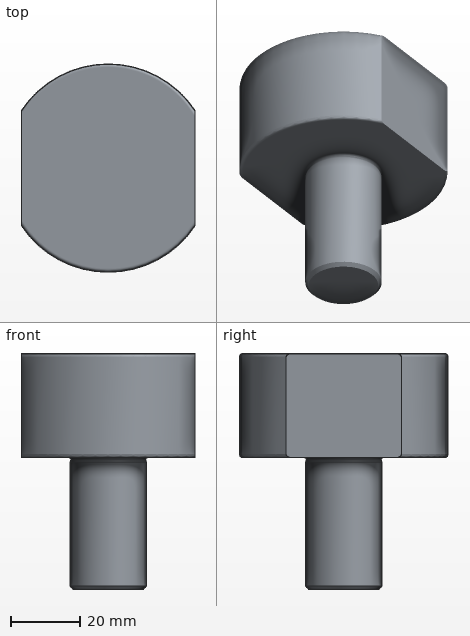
import cadquery as cq

head_diameter = 60.0
head_width = 50.0
head_height = 30.0
rim_radius = 0.95

total_height = 68.0
shank_length = total_height - head_height
shank_diameter = 22.0
tip_chamfer = 1.0

neck_diameter = 21.5
flare_radius = 0.6
taper_length = 0.7


def make_head():
    disc = (
        cq.Workplane("XY")
        .workplane(offset=shank_length)
        .circle(head_diameter / 2)
        .extrude(head_height)
        .faces("<Z or >Z")
        .edges()
        .fillet(rim_radius)
    )
    between_flats = (
        cq.Workplane("XY")
        .workplane(offset=shank_length)
        .rect(head_width, head_diameter)
        .extrude(head_height)
    )
    return disc.intersect(between_flats)


def make_shank():
    shank_radius = shank_diameter / 2
    neck_radius = neck_diameter / 2
    neck_z = shank_length - flare_radius
    half_profile = (
        cq.Workplane("XZ")
        .lineTo(shank_radius - tip_chamfer, 0)
        .lineTo(shank_radius, tip_chamfer)
        .lineTo(shank_radius, neck_z - taper_length)
        .lineTo(neck_radius, neck_z)
        .radiusArc((neck_radius + flare_radius, shank_length), flare_radius)
        .lineTo(0, shank_length)
        .close()
    )
    return half_profile.revolve(360, (0, 0), (0, 1))


result = make_head().union(make_shank())